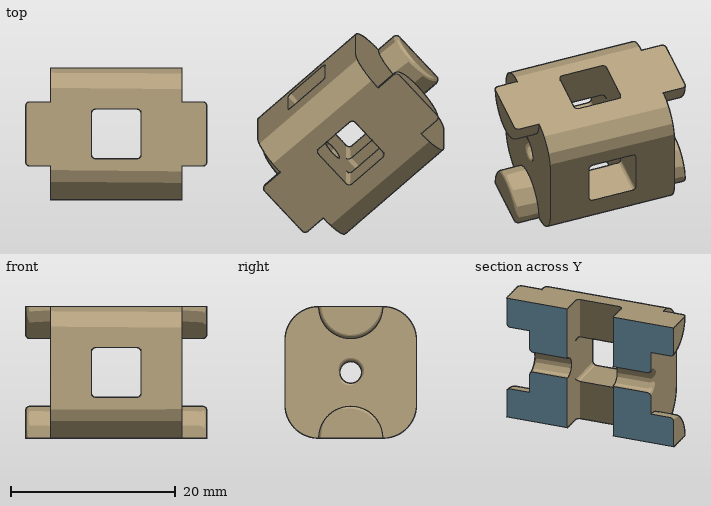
import cadquery as cq

body_size = 16.0
tab_radius = 3.9
body_corner_radius = body_size / 2 - tab_radius

tab_projection = 3.0
tab_edge_fillet = 0.5
overall_length = body_size + 2 * tab_projection

window_size = 6.0
window_corner_radius = 0.5

bore_diameter = 2.6
bore_mouth_fillet = 0.5


def make_body():
    """Cube with the four edges along X rounded."""
    return cq.Workplane("XY").box(body_size, body_size, body_size).edges("|X").fillet(body_corner_radius)


def make_tab_bar():
    """Full-length half-round bar hanging from the top face, forming the two upper tabs."""
    half_size = body_size / 2
    bar = (
        cq.Workplane("YZ", origin=(-overall_length / 2, 0, 0))
        .moveTo(-tab_radius, half_size)
        .threePointArc((0, half_size - tab_radius), (tab_radius, half_size))
        .close()
        .extrude(overall_length)
    )
    return bar.faces("|X").edges("%CIRCLE").fillet(tab_edge_fillet)


def make_window(plane, axis):
    """Square prism with rounded corners, passing through the body along the given axis."""
    return (
        cq.Workplane(plane)
        .rect(window_size, window_size)
        .extrude(body_size / 2, both=True)
        .edges("|" + axis)
        .fillet(window_corner_radius)
    )


def cut_bore(body):
    """Cut the hole along X and round its mouths on both end faces."""
    bore = cq.Workplane("YZ").circle(bore_diameter / 2).extrude(body_size / 2, both=True)
    mouths = cq.selectors.RadiusNthSelector(0)
    return body.cut(bore).edges("%CIRCLE").edges(mouths).fillet(bore_mouth_fillet)


upper_tabs = make_tab_bar()
lower_tabs = upper_tabs.mirror("XY")

result = (
    cut_bore(make_body())
    .union(upper_tabs)
    .union(lower_tabs)
    .cut(make_window("XY", "Z"))
    .cut(make_window("XZ", "Y"))
)